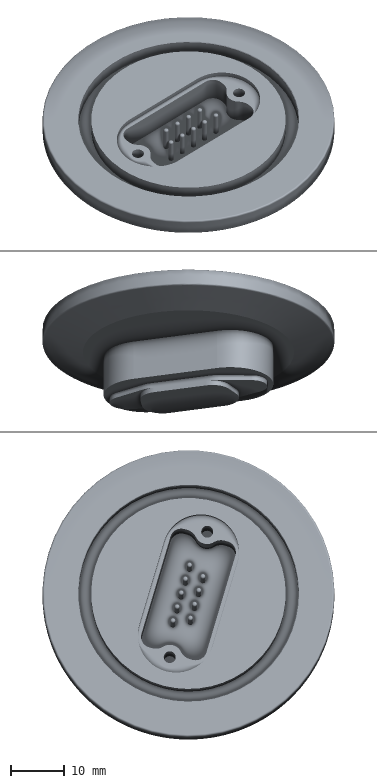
import cadquery as cq
import math

flange_radius = 27.45
rim_corner_height = 3.1
flange_thickness = 5.15
cone_angle = 15.0
rim_fillet = 0.35

boss_radius = 18.25
boss_drop = 0.15
groove_radius = 20.7
groove_depth = 2.75
groove_chamfer = 0.1

end_center_y = 8.3
housing_radius = 8.05
housing_bottom = 12.8
recess_radius = 7.2
recess_depth = 1.0

pocket_floor = 6.0
pocket_half_width = 6.35
pocket_half_length = 11.8
pocket_corner_radius = 2.15
pocket_shoulder_radius = 2.6
screw_y = 12.5
screw_hole_diameter = 2.25
screw_lobe_radius = 2.35

pin_diameter = 0.95
pin_height = 4.7
pin_tip_fillet = 0.35
long_row_count = 5
long_row_span = 11.1
long_row_x = 1.4
short_row_x = -1.6

connector_half_width = 5.1
shell_bottom = 14.7
plate_thickness = 1.0
shell_flat_half_length = 5.2
shell_side_angle = 12.0
shell_side_width = 2.65
narrow_corner_radius = 3.6
ear_radius = 2.9
plate_flat_half_length = 5.85
plate_blend_radius = 4.95
ear_angle_shell_side = 16.0


def on_circle(center, radius, angle):
    """Point on a circle at an angle in degrees from +X."""
    turn = math.radians(angle)
    return (center[0] + radius * math.cos(turn), center[1] + radius * math.sin(turn))


def flip_y(point):
    return (point[0], -point[1])


def make_slot(radius, top, depth):
    """Slot-shaped block along Y, reaching down from the height top."""
    return (
        cq.Workplane("XY", origin=(0, 0, top))
        .slot2D(2 * (end_center_y + radius), 2 * radius, 90)
        .extrude(-depth)
    )


def make_flange():
    cone_run = (flange_thickness - rim_corner_height) / math.tan(math.radians(cone_angle))
    body = (
        cq.Workplane("XZ")
        .lineTo(flange_radius, 0)
        .lineTo(flange_radius, -rim_corner_height)
        .lineTo(flange_radius - cone_run, -flange_thickness)
        .lineTo(0, -flange_thickness)
        .close()
        .revolve(360, (0, 0, 0), (0, 1, 0))
    )
    rim_edges = cq.selectors.RadiusNthSelector(-1)
    return body.edges(rim_edges).fillet(rim_fillet)


def make_groove():
    """Ring of removed material, widened by a chamfer at the top, that also lowers the boss top."""
    return (
        cq.Workplane("XZ")
        .lineTo(groove_radius + groove_chamfer, 0)
        .lineTo(groove_radius, -groove_chamfer)
        .lineTo(groove_radius, -groove_depth)
        .lineTo(boss_radius, -groove_depth)
        .lineTo(boss_radius, -boss_drop)
        .lineTo(0, -boss_drop)
        .close()
        .revolve(360, (0, 0, 0), (0, 1, 0))
    )


def make_pocket():
    corner_center = (pocket_half_width - pocket_corner_radius, pocket_half_length - pocket_corner_radius)
    corner_start = (pocket_half_width, corner_center[1])
    corner_mid = on_circle(corner_center, pocket_corner_radius, 45)
    corner_end = (corner_center[0], pocket_half_length)

    shoulder_y = pocket_half_length - pocket_shoulder_radius
    lobe_rise = screw_y - shoulder_y
    shoulder_x = math.sqrt((pocket_shoulder_radius + screw_lobe_radius) ** 2 - lobe_rise**2)
    shoulder_center = (shoulder_x, shoulder_y)
    shoulder_turn = math.degrees(math.atan2(lobe_rise, -shoulder_x))
    shoulder_start = (shoulder_x, pocket_half_length)
    shoulder_mid = on_circle(shoulder_center, pocket_shoulder_radius, (90 + shoulder_turn) / 2)
    lobe_start = on_circle(shoulder_center, pocket_shoulder_radius, shoulder_turn)
    lobe_tip_angle = 270
    lobe_mid_angle = (shoulder_turn + 180 + lobe_tip_angle) / 2
    lobe_mid = on_circle((0, screw_y), screw_lobe_radius, lobe_mid_angle)
    lobe_tip = (0, screw_y - screw_lobe_radius)

    quarter = (
        cq.Workplane("XY", origin=(0, 0, -pocket_floor))
        .lineTo(pocket_half_width, 0)
        .lineTo(*corner_start)
        .threePointArc(corner_mid, corner_end)
        .lineTo(*shoulder_start)
        .threePointArc(shoulder_mid, lobe_start)
        .threePointArc(lobe_mid, lobe_tip)
        .close()
        .extrude(pocket_floor)
    )
    half = quarter.union(quarter.mirror("YZ"))
    return half.union(half.mirror("XZ"))


def make_screw_holes():
    return (
        cq.Workplane("XY", origin=(0, 0, -pocket_floor))
        .pushPoints([(0, screw_y), (0, -screw_y)])
        .circle(screw_hole_diameter / 2)
        .extrude(pocket_floor)
    )


def make_pin_row(x, count):
    pitch = long_row_span / (long_row_count - 1)
    return (
        cq.Workplane("XY", origin=(x, 0, -pocket_floor))
        .rarray(0.55, pitch, 1, count)
        .circle(pin_diameter / 2)
        .extrude(pin_height)
        .faces(">Z")
        .edges()
        .fillet(pin_tip_fillet)
    )


narrow_center = (narrow_corner_radius - connector_half_width, shell_flat_half_length)
side_normal = 90 + shell_side_angle
narrow_end = on_circle(narrow_center, narrow_corner_radius, side_normal)
side_rise = shell_side_width * math.tan(math.radians(shell_side_angle))
wide_start = (narrow_end[0] + shell_side_width, narrow_end[1] + side_rise)
wide_corner_radius = (connector_half_width - wide_start[0]) / (1 + math.sin(math.radians(shell_side_angle)))
wide_center = on_circle(wide_start, wide_corner_radius, side_normal + 180)


def make_shell():
    narrow_start = (-connector_half_width, shell_flat_half_length)
    narrow_mid = on_circle(narrow_center, narrow_corner_radius, (side_normal + 180) / 2)
    wide_mid = on_circle(wide_center, wide_corner_radius, side_normal / 2)
    wide_end = (connector_half_width, wide_center[1])
    return (
        cq.Workplane("XY", origin=(0, 0, -housing_bottom))
        .moveTo(*flip_y(narrow_start))
        .lineTo(*narrow_start)
        .threePointArc(narrow_mid, narrow_end)
        .lineTo(*wide_start)
        .threePointArc(wide_mid, wide_end)
        .lineTo(*flip_y(wide_end))
        .threePointArc(flip_y(wide_mid), flip_y(wide_start))
        .lineTo(*flip_y(narrow_end))
        .threePointArc(flip_y(narrow_mid), flip_y(narrow_start))
        .close()
        .extrude(housing_bottom - shell_bottom)
    )


def make_plate():
    ear_center = (0, screw_y)
    blend_center = (plate_blend_radius - connector_half_width, plate_flat_half_length)

    dx = ear_center[0] - blend_center[0]
    dy = ear_center[1] - blend_center[1]
    lean = math.degrees(math.acos((plate_blend_radius - ear_radius) / math.hypot(dx, dy)))
    tangent = math.degrees(math.atan2(dy, dx)) + lean
    blend_start = (-connector_half_width, plate_flat_half_length)
    blend_mid = on_circle(blend_center, plate_blend_radius, (tangent + 180) / 2)
    blend_end = on_circle(blend_center, plate_blend_radius, tangent)
    ear_start = on_circle(ear_center, ear_radius, tangent)
    ear_mid = on_circle(ear_center, ear_radius, 90)
    ear_end = on_circle(ear_center, ear_radius, ear_angle_shell_side)

    waist_run = (ear_end[1] - wide_center[1]) * math.tan(math.radians(ear_angle_shell_side))
    waist = (ear_end[0] + waist_run, wide_center[1])
    return (
        cq.Workplane("XY", origin=(0, 0, -housing_bottom))
        .moveTo(*flip_y(blend_start))
        .lineTo(*blend_start)
        .threePointArc(blend_mid, blend_end)
        .lineTo(*ear_start)
        .threePointArc(ear_mid, ear_end)
        .lineTo(*waist)
        .lineTo(*flip_y(waist))
        .lineTo(*flip_y(ear_end))
        .threePointArc(flip_y(ear_mid), flip_y(ear_start))
        .lineTo(*flip_y(blend_end))
        .threePointArc(flip_y(blend_mid), flip_y(blend_start))
        .close()
        .extrude(-plate_thickness)
    )


housing_top = -groove_depth
result = (
    make_flange()
    .cut(make_groove())
    .union(make_slot(housing_radius, housing_top, housing_bottom + housing_top))
    .union(make_plate())
    .union(make_shell())
    .cut(make_slot(recess_radius, -boss_drop, recess_depth))
    .cut(make_pocket())
    .cut(make_screw_holes())
    .union(make_pin_row(long_row_x, long_row_count))
    .union(make_pin_row(short_row_x, long_row_count - 1))
)